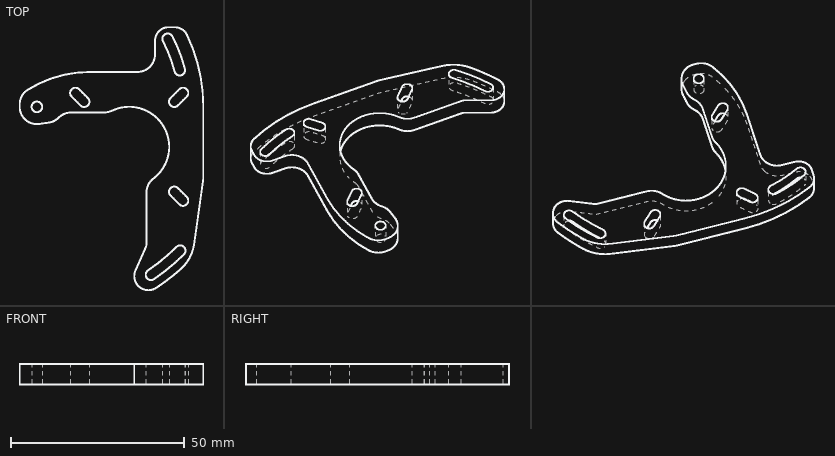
import cadquery as cq
import math

thickness = 6.0

pivot_x = -26.6
pivot_y = 11.5
pivot_hole_diameter = 3.0
pivot_lobe_radius = 5.0

boss_radius = 11.5
motor_slot_inner = 13.0
motor_slot_outer = 15.5
motor_slot_tilt = 45.0
motor_slot_directions = [(-1, 1), (1, 1), (1, -1)]
slot_width = 3.0

upper_slot_radius = 42.5
upper_slot_angles = (14.4, 27.5)
lower_slot_radius = 58.5
lower_slot_angles = (-55.8, -45.1)

left_x = pivot_x - pivot_lobe_radius
upper_edge_radius = 48.0
right_x = pivot_x + upper_edge_radius
top_y = 34.5
ear_left_x = 7.4
arm_top_y = 21.6
arm_bottom_y = 9.85
leg_left_x = 4.95

arm_arc_start_x = -11.4
arm_arc_radius = 33.5

step_top_x = -18.85
step_angle = 45.0
lobe_edge_angle = 8.0

foot_edge_radius = 62.5
taper_start_y = -9.2
taper_angle = 8.0
foot_flare_y = -28.5
foot_flare_angle = 24.0

general_radius = 5.0
ear_radius = 4.0
foot_lobe_radius = 4.1
foot_heel_radius = 12.0
foot_flare_radius = 2.5


def about_pivot(radius, angle):
    """Point at a radius and an angle in degrees about the pivot."""
    turn = math.radians(angle)
    return (pivot_x + radius * math.cos(turn), pivot_y + radius * math.sin(turn))


def pivot_angle(point):
    """Angle in degrees of a point about the pivot."""
    return math.degrees(math.atan2(point[1] - pivot_y, point[0] - pivot_x))


def meet_pivot_circle(start, angle, radius):
    """Point where a ray from inside a circle about the pivot reaches that circle."""
    ray_x = math.cos(math.radians(angle))
    ray_y = math.sin(math.radians(angle))
    offset_x = start[0] - pivot_x
    offset_y = start[1] - pivot_y
    along = offset_x * ray_x + offset_y * ray_y
    reach = -along + math.sqrt(along**2 - offset_x**2 - offset_y**2 + radius**2)
    return (start[0] + reach * ray_x, start[1] + reach * ray_y)


def arm_arc_point(x):
    """Point at x on the arc along the top of the arm."""
    centre_y = arm_top_y - arm_arc_radius
    return (x, centre_y + math.sqrt(arm_arc_radius**2 - (x - arm_arc_start_x) ** 2))


def make_body():
    """Plate with a sharp outline, then every outline corner rounded."""
    ear_right = meet_pivot_circle((pivot_x, top_y), 0, upper_edge_radius)
    right_start = (right_x, pivot_y)
    edge_middle = about_pivot(upper_edge_radius, pivot_angle(ear_right) / 2)

    taper_start = (right_x, taper_start_y)
    heel = meet_pivot_circle(taper_start, -90 - taper_angle, foot_edge_radius)
    flare = (leg_left_x, foot_flare_y)
    toe = meet_pivot_circle(flare, -90 - foot_flare_angle, foot_edge_radius)
    sole_middle = about_pivot(foot_edge_radius, (pivot_angle(heel) + pivot_angle(toe)) / 2)

    boss_low = (leg_left_x, -math.sqrt(boss_radius**2 - leg_left_x**2))
    boss_high = (-math.sqrt(boss_radius**2 - arm_bottom_y**2), arm_bottom_y)
    boss_middle = (boss_radius * math.cos(math.pi / 4), boss_radius * math.sin(math.pi / 4))

    lobe_slope = math.tan(math.radians(lobe_edge_angle))
    step_slope = math.tan(math.radians(step_angle))
    lobe_edge_y = pivot_y - pivot_lobe_radius / math.cos(math.radians(lobe_edge_angle))
    step_top = (step_top_x, arm_bottom_y)
    drop = arm_bottom_y - lobe_edge_y - lobe_slope * (step_top_x - pivot_x)
    step_run = drop / (step_slope - lobe_slope)
    step_bottom = (step_top_x - step_run, arm_bottom_y - step_run * step_slope)
    lobe_low = (left_x, lobe_edge_y - lobe_slope * pivot_lobe_radius)
    lobe_high = arm_arc_point(left_x)

    arm_arc_start = (arm_arc_start_x, arm_top_y)
    arm_arc_middle = arm_arc_point((left_x + arm_arc_start_x) / 2)
    ear_root = (ear_left_x, arm_top_y)
    ear_left = (ear_left_x, top_y)

    body = (
        cq.Workplane("XY")
        .moveTo(*ear_left)
        .lineTo(*ear_right)
        .threePointArc(edge_middle, right_start)
        .lineTo(*taper_start)
        .lineTo(*heel)
        .threePointArc(sole_middle, toe)
        .lineTo(*flare)
        .lineTo(*boss_low)
        .threePointArc(boss_middle, boss_high)
        .lineTo(*step_top)
        .lineTo(*step_bottom)
        .lineTo(*lobe_low)
        .lineTo(*lobe_high)
        .threePointArc(arm_arc_middle, arm_arc_start)
        .lineTo(*ear_root)
        .close()
        .extrude(thickness)
    )

    corner_radii = [
        (ear_left, ear_radius),
        (ear_right, ear_radius),
        (heel, foot_heel_radius),
        (toe, foot_lobe_radius),
        (flare, foot_flare_radius),
        (boss_low, general_radius),
        (boss_high, general_radius),
        (step_top, general_radius),
        (step_bottom, general_radius),
        (lobe_low, pivot_lobe_radius),
        (lobe_high, pivot_lobe_radius),
        (ear_root, general_radius),
    ]
    for (x, y), radius in corner_radii:
        corner = cq.selectors.NearestToPointSelector((x, y, thickness / 2))
        body = body.edges("|Z").edges(corner).fillet(radius)
    return body


def make_motor_slot(side_x, side_y):
    """Cutter for one diagonal slot, pointing away from the boss centre."""
    middle = (motor_slot_inner + motor_slot_outer) / 2
    travel = math.sqrt(2) * (motor_slot_outer - motor_slot_inner)
    return (
        cq.Workplane("XY")
        .center(side_x * middle, side_y * middle)
        .slot2D(travel + slot_width, slot_width, motor_slot_tilt * side_x * side_y)
        .extrude(thickness)
    )


def make_curved_slot(radius, angles):
    """Cutter for a round-ended slot that follows a circle about the pivot."""
    start, end = angles
    middle = (start + end) / 2
    end_turn = math.degrees(slot_width / 2 / radius)
    inner = radius - slot_width / 2
    outer = radius + slot_width / 2
    return (
        cq.Workplane("XY")
        .moveTo(*about_pivot(inner, start))
        .threePointArc(about_pivot(inner, middle), about_pivot(inner, end))
        .threePointArc(about_pivot(radius, end + end_turn), about_pivot(outer, end))
        .threePointArc(about_pivot(outer, middle), about_pivot(outer, start))
        .threePointArc(about_pivot(radius, start - end_turn), about_pivot(inner, start))
        .close()
        .extrude(thickness)
    )


def make_pivot_hole():
    """Cutter for the pivot hole."""
    return cq.Workplane("XY").center(pivot_x, pivot_y).circle(pivot_hole_diameter / 2).extrude(thickness)


result = make_body().cut(make_pivot_hole())
for direction in motor_slot_directions:
    result = result.cut(make_motor_slot(*direction))
result = result.cut(make_curved_slot(upper_slot_radius, upper_slot_angles))
result = result.cut(make_curved_slot(lower_slot_radius, lower_slot_angles))